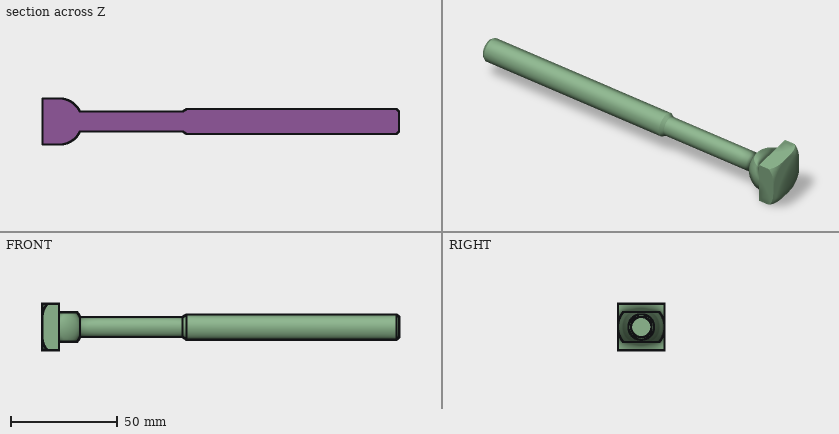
import math

import cadquery as cq

total_length = 168.0
thread_length = 100.0
thread_diameter = 12.0
shank_diameter = 9.6
shoulder_length = 1.9
end_chamfer_length = 1.5

head_width = 22.0
head_thickness = 8.0
head_face_diameter = 21.5
corner_round_radius = 5.6

neck_radius = head_width / 2
neck_thickness = 14.0


def make_head():
    """Square block whose corners are rounded off towards the circular outer face."""
    block = cq.Workplane("YZ").rect(head_width, head_width).extrude(head_thickness)

    face_radius = head_face_diameter / 2
    outer_radius = face_radius + corner_round_radius
    halfway = math.sqrt(0.5)
    arc_middle = (
        corner_round_radius * (1 - halfway),
        face_radius + corner_round_radius * halfway,
    )
    envelope = (
        cq.Workplane("XY")
        .moveTo(0, 0)
        .lineTo(0, face_radius)
        .threePointArc(arc_middle, (corner_round_radius, outer_radius))
        .lineTo(head_thickness, outer_radius)
        .lineTo(head_thickness, 0)
        .close()
        .revolve(360, (0, 0), (1, 0))
    )
    return block.intersect(envelope)


def make_neck():
    """Half ball centred on the back of the head, cut to the neck thickness."""
    ball = cq.Workplane("XY").sphere(neck_radius).translate((head_thickness, 0, 0))
    slab = cq.Workplane("YZ", origin=(head_thickness, 0, 0))
    slab = slab.rect(head_width, neck_thickness).extrude(neck_radius)
    return ball.intersect(slab)


def make_shaft():
    """Reduced shank and full-diameter thread, with a cone at each end of the thread."""
    shank_radius = shank_diameter / 2
    thread_radius = thread_diameter / 2
    thread_start = total_length - thread_length
    profile = [
        (head_thickness, 0),
        (head_thickness, shank_radius),
        (thread_start - shoulder_length, shank_radius),
        (thread_start, thread_radius),
        (total_length - end_chamfer_length, thread_radius),
        (total_length, shank_radius),
        (total_length, 0),
    ]
    return cq.Workplane("XY").polyline(profile).close().revolve(360, (0, 0), (1, 0))


result = make_head().union(make_neck()).union(make_shaft())